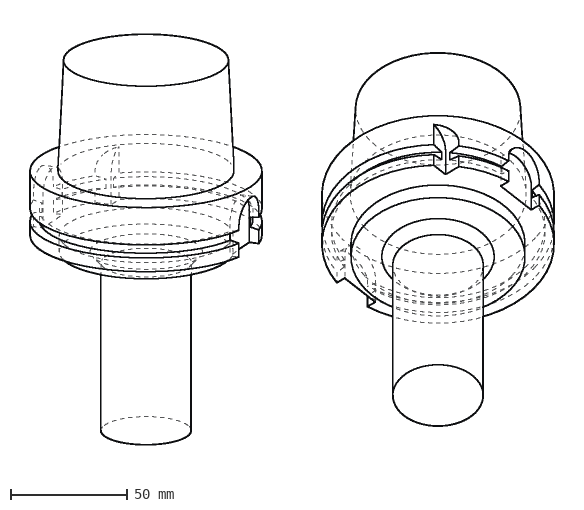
import cadquery as cq

total_height = 168.0

shank_radius = 39.0 / 2
shank_top = 76.3
collar_radius = 24.2

boss_radius = 75.0 / 2
boss_bottom = 81.3

flange_radius = 100.0 / 2
flange_bottom = 88.7
flange_top = 117.8
groove_bottom = 95.0
groove_top = 100.8
groove_radius = 46.0
groove_wall_rise = 0.8

plug_base_radius = 75.8 / 2
plug_top_radius = 71.0 / 2
plug_band_height = 2.0

slot_width = 20.0
slot_crown = flange_top - 4.9
drive_slot_floor = 44.5
index_slot_floor = 31.5
index_slot_y = 41.2


def turned_body():
    """Revolve the half outline (radius, height) around Z."""
    return (
        cq.Workplane("XZ")
        .lineTo(shank_radius, 0)
        .lineTo(shank_radius, shank_top)
        .lineTo(collar_radius, boss_bottom)
        .lineTo(boss_radius, boss_bottom)
        .lineTo(boss_radius, flange_bottom)
        .lineTo(flange_radius, flange_bottom)
        .lineTo(flange_radius, groove_bottom)
        .lineTo(groove_radius, groove_bottom + groove_wall_rise)
        .lineTo(groove_radius, groove_top - groove_wall_rise)
        .lineTo(flange_radius, groove_top)
        .lineTo(flange_radius, flange_top)
        .lineTo(plug_base_radius, flange_top)
        .lineTo(plug_base_radius, flange_top + plug_band_height)
        .lineTo(plug_top_radius, total_height)
        .lineTo(0, total_height)
        .close()
        .revolve(360, (0, 0, 0), (0, 1, 0))
    )


def slot_cutter(center_y, floor_distance):
    """Round-topped slot on the +X side, from its flat floor out past the rim."""
    half_width = slot_width / 2
    arc_start = slot_crown - half_width
    return (
        cq.Workplane("YZ", origin=(floor_distance, 0, 0))
        .moveTo(center_y - half_width, flange_bottom)
        .lineTo(center_y - half_width, arc_start)
        .threePointArc((center_y, slot_crown), (center_y + half_width, arc_start))
        .lineTo(center_y + half_width, flange_bottom)
        .close()
        .extrude(flange_radius - floor_distance)
    )


result = turned_body()

drive_slot = slot_cutter(0, drive_slot_floor)
result = result.cut(drive_slot).cut(drive_slot.mirror("YZ"))

result = result.cut(slot_cutter(index_slot_y, index_slot_floor).mirror("YZ"))